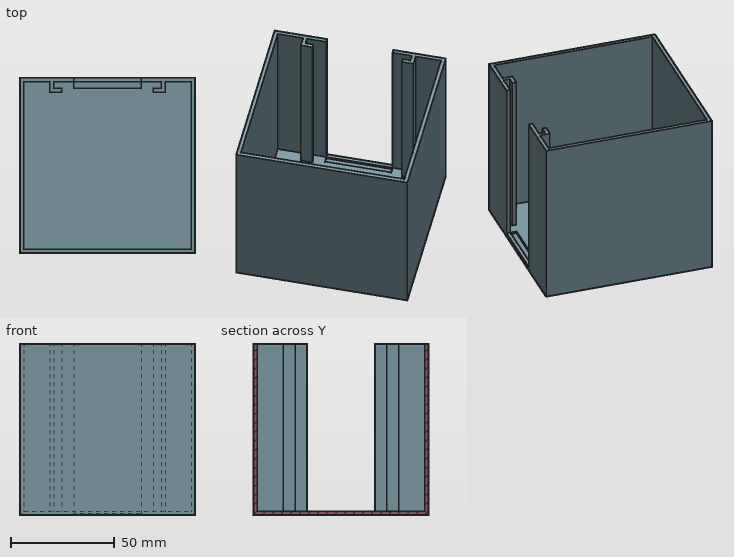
import cadquery as cq

side = 85.0
height = 83.0
wall = 1.95
floor_thickness = wall

opening_width = 32.8

recess_length = 3.15
recess_depth = 1.0

rail_offset = 14.5
rail_depth = 7.0
rail_width = 5.8

half_side = side / 2
inner_height = height - floor_thickness


def block(x_min, x_max, y_min, y_max):
    """Upright block from the top of the floor to the rim."""
    return (
        cq.Workplane("XY", origin=(x_min, y_min, floor_thickness))
        .box(x_max - x_min, y_max - y_min, inner_height, centered=False)
    )


def open_box():
    inner_half = half_side - wall
    cavity = block(-inner_half, inner_half, -inner_half, inner_half)
    opening = block(-opening_width / 2, opening_width / 2, 0, half_side)
    outer = cq.Workplane("XY").box(side, side, height, centered=(True, True, False))
    return outer.cut(cavity).cut(opening)


def left_rail():
    stem_x = -half_side + rail_offset
    lip_y = half_side - rail_depth
    stem = block(stem_x, stem_x + wall, lip_y, half_side - wall)
    lip = block(stem_x, stem_x + rail_width, lip_y, lip_y + wall)
    return stem.union(lip)


def floor_recess():
    y_min = half_side - wall - recess_length
    return (
        cq.Workplane("XY", origin=(0, y_min, floor_thickness - recess_depth))
        .box(opening_width, recess_length, recess_depth, centered=(True, False, False))
    )


rail = left_rail()
result = open_box().cut(floor_recess()).union(rail).union(rail.mirror("YZ"))